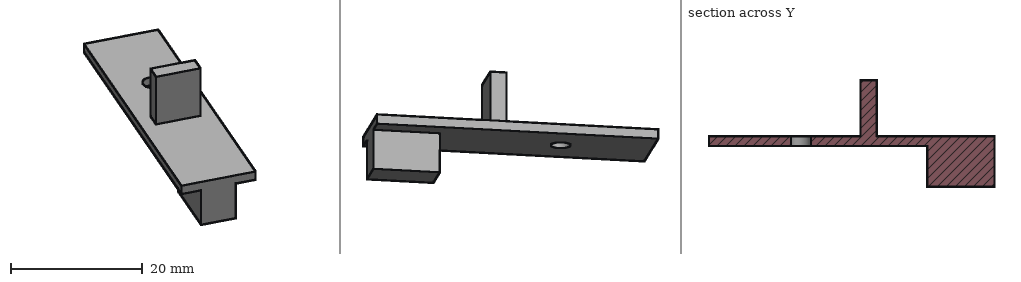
import cadquery as cq

plate_length = 43.4
plate_width = 12.0
plate_thickness = 1.5

hole_diameter = 3.0
hole_x = 14.0

tab_start_x = 23.0
tab_thickness = 2.5
tab_width = 7.2
tab_height = 8.5

block_length = 10.25
block_width = 5.6
block_height = 6.2


def centred_box(start_x, bottom_z, length, width, height):
    """Box running along +X from start_x and up from bottom_z, centred on Y = 0."""
    return (
        cq.Workplane("XY")
        .box(length, width, height, centered=(False, True, False))
        .translate((start_x, 0, bottom_z))
    )


plate = centred_box(0, 0, plate_length, plate_width, plate_thickness)
hole = cq.Workplane("XY").center(hole_x, 0).circle(hole_diameter / 2).extrude(plate_thickness)
tab = centred_box(tab_start_x, plate_thickness, tab_thickness, tab_width, tab_height)
block = centred_box(plate_length - block_length, -block_height, block_length, block_width, block_height)

result = plate.cut(hole).union(tab).union(block)